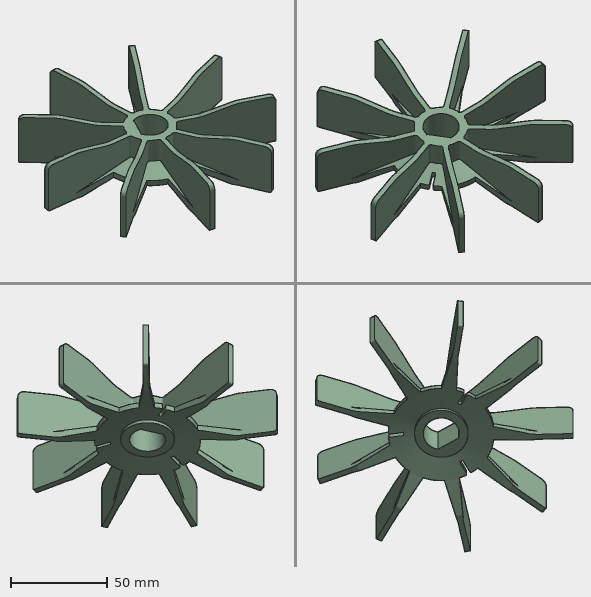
import cadquery as cq
import math

BLADE_COUNT = 9
BLADE_PITCH = 360 / BLADE_COUNT
FIRST_BLADE_ANGLE = 90
BLADE_THICKNESS = 3.0
OVERALL_WIDTH = 135.4
BLADE_HEIGHT = 28.5
RISE_START = 27.6
RISE_END = 47.6
TOP_BLEND = 24.4
TIP_TOP_ROUND = 3.5
TIP_BOTTOM_ROUND = 1.02

HUB_RADIUS = 14.0
HUB_TOP = 24.4
HUB_BOTTOM = 5.8
HUB_FILLET = 1.5
BORE_RADIUS = 9.3
BORE_FLAT = 6.9

RIM_RADIUS = 27.5
RIM_TOP = 8.3
RIM_BOTTOM = 5.0
DISC_TOP_AT_HUB = 11.1
GUSSET_FOOT = 46.4
GUSSET_TIP = 49.7
GUSSET_HALF_WIDTH = 3.9

SLOT_COUNT = 3
FIRST_SLOT_ANGLE = 30
SLOT_WIDTH = 1.9
SLOT_INNER = 19.6
SLOT_MOUTH_ROUND = 1.0
SLOT_END_ROUND = 0.47

disc_slope = (DISC_TOP_AT_HUB - RIM_TOP) / (RIM_RADIUS - HUB_RADIUS)
blade_angles = [FIRST_BLADE_ANGLE + i * BLADE_PITCH for i in range(BLADE_COUNT)]
slot_angles = [FIRST_SLOT_ANGLE + i * 360 / SLOT_COUNT for i in range(SLOT_COUNT)]

widest_blade_lean = math.radians(min(abs(angle - 180) for angle in blade_angles))
tip_offset = BLADE_THICKNESS / 2 * math.sin(widest_blade_lean)
tip_radius = (OVERALL_WIDTH / 2 - tip_offset) / math.cos(widest_blade_lean)


def rotated(body, angle):
    return body.rotate((0, 0, 0), (0, 0, 1), angle)


def make_blade():
    """Blade along +X, from the axis out to the tip."""
    blade = (
        cq.Workplane("XZ")
        .moveTo(0, 0)
        .lineTo(tip_radius, 0)
        .lineTo(tip_radius, BLADE_HEIGHT)
        .lineTo(RISE_END, BLADE_HEIGHT)
        .lineTo(RISE_START, HUB_TOP)
        .lineTo(0, HUB_TOP)
        .close()
        .extrude(BLADE_THICKNESS / 2, both=True)
    )
    for radius, height, rounding in (
        (RISE_START, HUB_TOP, TOP_BLEND),
        (RISE_END, BLADE_HEIGHT, TOP_BLEND),
        (tip_radius, BLADE_HEIGHT, TIP_TOP_ROUND),
        (tip_radius, 0, TIP_BOTTOM_ROUND),
    ):
        blade = blade.edges(cq.NearestToPointSelector((radius, 0, height))).fillet(rounding)
    return blade


def make_hub_with_blades():
    body = cq.Workplane("XY").circle(HUB_RADIUS).extrude(HUB_TOP)
    blade = make_blade()
    for angle in blade_angles:
        body = body.union(rotated(blade, angle))
    reach = HUB_RADIUS + BLADE_THICKNESS
    around_hub = cq.selectors.BoxSelector((-reach, -reach, 0), (reach, reach, HUB_TOP))
    return body.edges("|Z").edges(around_hub).fillet(HUB_FILLET)


def make_disc():
    """Round disc and tapered gussets, cut to a cone on top."""
    plan = cq.Workplane("XY").circle(RIM_RADIUS).extrude(BLADE_HEIGHT)
    taper = (GUSSET_HALF_WIDTH - BLADE_THICKNESS / 2) / (GUSSET_TIP - RIM_RADIUS)
    root_half_width = GUSSET_HALF_WIDTH + taper * RIM_RADIUS
    gusset = (
        cq.Workplane("XY")
        .moveTo(0, -root_half_width)
        .lineTo(GUSSET_TIP, -BLADE_THICKNESS / 2)
        .lineTo(GUSSET_TIP, BLADE_THICKNESS / 2)
        .lineTo(0, root_half_width)
        .close()
        .extrude(BLADE_HEIGHT)
    )
    for angle in blade_angles:
        plan = plan.union(rotated(gusset, angle))
    cone = (
        cq.Workplane("XZ")
        .moveTo(0, 0)
        .lineTo(RIM_RADIUS + RIM_TOP / disc_slope, 0)
        .lineTo(0, RIM_TOP + disc_slope * RIM_RADIUS)
        .close()
        .revolve(360, (0, 0, 0), (0, 1, 0))
    )
    return plan.intersect(cone)


def make_underside():
    """Hollow below the part: flat under the hub, then conical out to the foot of the gussets."""
    return (
        cq.Workplane("XZ")
        .moveTo(0, 0)
        .lineTo(GUSSET_FOOT, 0)
        .lineTo(RIM_RADIUS, RIM_BOTTOM)
        .lineTo(HUB_RADIUS, RIM_BOTTOM + disc_slope * (RIM_RADIUS - HUB_RADIUS))
        .lineTo(HUB_RADIUS, HUB_BOTTOM)
        .lineTo(0, HUB_BOTTOM)
        .close()
        .revolve(360, (0, 0, 0), (0, 1, 0))
    )


def make_bore():
    flat_half_width = math.sqrt(BORE_RADIUS**2 - BORE_FLAT**2)
    return (
        cq.Workplane("XY")
        .moveTo(-flat_half_width, -BORE_FLAT)
        .threePointArc((0, BORE_RADIUS), (flat_half_width, -BORE_FLAT))
        .close()
        .extrude(BLADE_HEIGHT)
    )


def cut_slot(body, angle):
    """Radial slot through the rim, rounded at its inner end and at its mouth."""
    length = RIM_RADIUS - SLOT_INNER + SLOT_WIDTH
    slot = (
        cq.Workplane("XY")
        .center(SLOT_INNER + length / 2, 0)
        .rect(length, SLOT_WIDTH)
        .extrude(BLADE_HEIGHT)
        .edges("|Z and <X")
        .fillet(SLOT_END_ROUND)
    )
    body = rotated(body, -angle).cut(slot)

    mouth_height = (RIM_TOP + RIM_BOTTOM) / 2
    mouth_radius = math.sqrt(RIM_RADIUS**2 - (SLOT_WIDTH / 2) ** 2)
    for side in (1, -1):
        corner = cq.NearestToPointSelector((mouth_radius, side * SLOT_WIDTH / 2, mouth_height))
        body = body.edges("|Z").edges(corner).fillet(SLOT_MOUTH_ROUND)
    return rotated(body, angle)


result = make_hub_with_blades().union(make_disc()).cut(make_underside()).cut(make_bore())
for slot_angle in slot_angles:
    result = cut_slot(result, slot_angle)